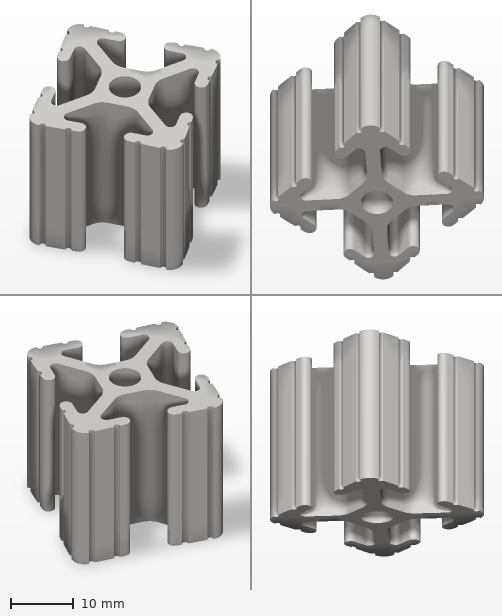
import cadquery as cq
import math

side = 25.4
length = 25.4
half_side = side / 2

corner_radius = 2.18
pad_height = 12.6
pad_inner_end = 8.45
slope_angle = 1.7

lip_tip = 3.2
lip_underside = 10.35

core_half_width = 4.45
core_flat_half = 1.63
core_fillet = 2.85
pocket_fillet = 0.95
web_angle = 45.0
bore_diameter = 5.13

groove_radius = 0.5
groove_centers = ((5.77, 12.52), (10.0, 12.62))
outer_groove_place = groove_centers[-1][0]


def face_height(x):
    """Height of the sloping part of an outer face at distance x from the middle."""
    return pad_height - (pad_inner_end - x) * math.tan(math.radians(slope_angle))


lip_radius = (face_height(lip_tip) - lip_underside) / 2
lip_center_x = lip_tip + lip_radius
lip_center_y = lip_underside + lip_radius

core_corner = core_flat_half + core_fillet * math.tan(math.radians(web_angle / 2))
pocket_corner = core_corner + (lip_underside - core_half_width) / math.tan(math.radians(web_angle))


def make_face_relief():
    """Material above the pad and slopes of the +Y face, ending inside the outer grooves."""
    return (
        cq.Workplane("XY")
        .polyline([
            (-outer_groove_place, half_side),
            (-outer_groove_place, pad_height),
            (-pad_inner_end, pad_height),
            (0, face_height(0)),
            (pad_inner_end, pad_height),
            (outer_groove_place, pad_height),
            (outer_groove_place, half_side),
        ])
        .close()
        .extrude(length)
    )


def make_pocket():
    """Wide inner part of the +Y slot, bounded by the core, two webs and the lips."""
    pocket = (
        cq.Workplane("XY")
        .polyline([
            (-core_corner, core_half_width),
            (core_corner, core_half_width),
            (pocket_corner, lip_underside),
            (-pocket_corner, lip_underside),
        ])
        .close()
        .extrude(length)
    )
    pocket = pocket.edges("|Z and <Y").fillet(core_fillet)
    return pocket.edges("|Z and (<X or >X)").fillet(pocket_fillet)


def make_slot_opening():
    """Gap between the lips of the +Y slot, with the rounded lip ends left standing."""
    gap_depth = half_side - lip_underside
    gap = (
        cq.Workplane("XY")
        .center(0, lip_underside + gap_depth / 2)
        .rect(2 * lip_center_x, gap_depth)
        .extrude(length)
    )
    lip_ends = (
        cq.Workplane("XY")
        .pushPoints([(-lip_center_x, lip_center_y), (lip_center_x, lip_center_y)])
        .circle(lip_radius)
        .extrude(length)
    )
    return gap.cut(lip_ends)


def make_grooves():
    """The four small round grooves along the +Y face."""
    places = [(sign * x, y) for x, y in groove_centers for sign in (-1, 1)]
    return cq.Workplane("XY").pushPoints(places).circle(groove_radius).extrude(length)


result = cq.Workplane("XY").rect(side, side).extrude(length).edges("|Z").fillet(corner_radius)

for cutter in (make_face_relief(), make_pocket(), make_slot_opening(), make_grooves()):
    for quarter_turn in range(4):
        result = result.cut(cutter.rotate((0, 0, 0), (0, 0, 1), 90 * quarter_turn))

result = result.cut(cq.Workplane("XY").circle(bore_diameter / 2).extrude(length))